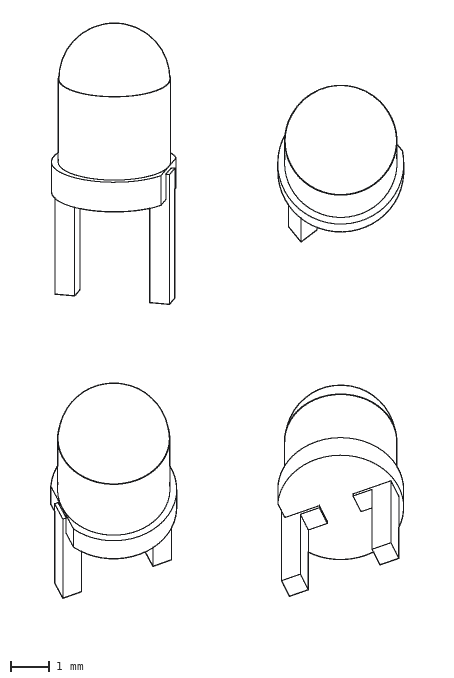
import cadquery as cq

total_height = 7.47
flange_bottom = 2.89
flange_height = 0.82
dome_radius = 1.46
flange_top = flange_bottom + flange_height
barrel_top = total_height - dome_radius

flange_radius = 1.65
barrel_radius = 1.47
flat_distance = barrel_radius

lead_thickness = 0.54
lead_outer_spacing = 3.11
lead_pair_center = 0.015
head_width = 2 * lead_thickness
head_bottom = 2.795
head_top = 3.59


def make_lead(side):
    """Lead on one side of the Z axis: side is +1 or -1; the head extends inward."""
    outer_x = lead_pair_center + side * lead_outer_spacing / 2
    leg_inner_x = outer_x - side * lead_thickness
    head_inner_x = outer_x - side * head_width
    outline = [
        (outer_x, 0),
        (outer_x, head_top),
        (head_inner_x, head_top),
        (head_inner_x, head_bottom),
        (leg_inner_x, head_bottom),
        (leg_inner_x, 0),
    ]
    return cq.Workplane("XZ").polyline(outline).close().extrude(lead_thickness / 2, both=True)


def make_flange(leads):
    """Disc with one flat side and a recess for each lead."""
    disc = cq.Workplane("XY").workplane(offset=flange_bottom).circle(flange_radius).extrude(flange_height)
    beyond_flat = (
        cq.Workplane("XY")
        .box(flange_radius, 2 * flange_radius, flange_height, centered=(False, True, False))
        .translate((flat_distance, 0, flange_bottom))
    )
    flange = disc.cut(beyond_flat)
    for lead in leads:
        flange = flange.cut(lead)
    return flange


def make_barrel():
    """Plain cylinder standing on the flange."""
    return cq.Workplane("XY").workplane(offset=flange_top).circle(barrel_radius).extrude(barrel_top - flange_top)


def make_dome():
    """Hemisphere on the barrel, leaving a narrow ledge around it."""
    return (
        cq.Workplane("XZ")
        .moveTo(0, barrel_top)
        .lineTo(dome_radius, barrel_top)
        .radiusArc((0, total_height), -dome_radius)
        .close()
        .revolve(360, (0, 0), (0, 1))
    )


leads = [make_lead(side) for side in (-1, 1)]
flange = make_flange(leads)
barrel = make_barrel()
dome = make_dome()

result = cq.Compound.makeCompound(
    [flange.val(), barrel.val(), dome.val(), *[lead.val() for lead in leads]]
)